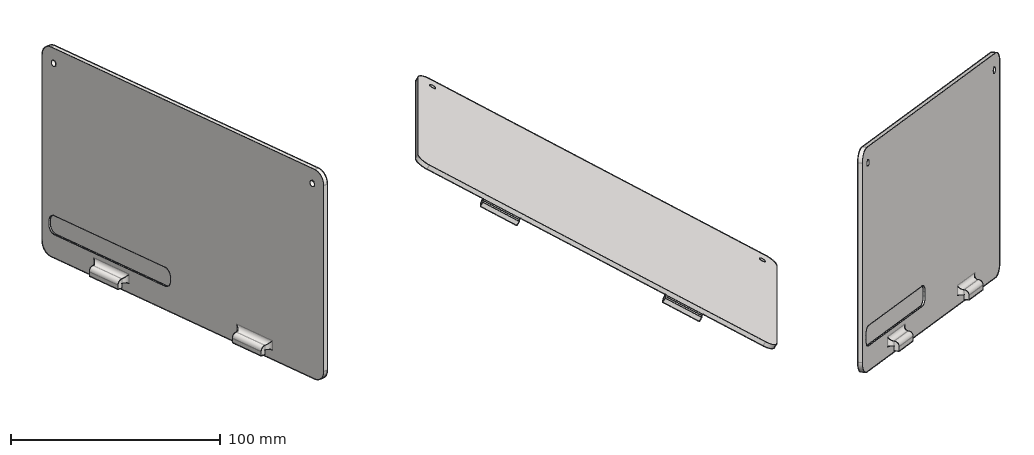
import cadquery as cq

plate_length = 197.0
plate_height = 111.1
total_depth = 7.5
plate_thickness = total_depth / 3
plate_corner_radius = 6.3

hole_diameter = 3.2
hole_inset = 8.0

recess_length = 85.0
recess_height = 10.0
recess_corner_radius = 4.0
recess_depth = 1.0
recess_left_margin = 5.0
recess_bottom_margin = 12.5

hook_width = 20.0
hook_spacing = 100.0
hook_thickness = plate_thickness
lip_bottom = 2.5
arm_bottom = 5.0
arm_top = arm_bottom + hook_thickness

front_y = -plate_thickness
hook_front_y = -total_depth
lip_back_y = hook_front_y + hook_thickness
root_radius = front_y - lip_back_y


def make_plate():
    """Rounded rectangular plate with its bottom edge at Z = 0."""
    return (
        cq.Workplane("XZ")
        .rect(plate_length, plate_height)
        .extrude(plate_thickness)
        .edges("|Y")
        .fillet(plate_corner_radius)
        .translate((0, 0, plate_height / 2))
    )


def make_holes():
    """Two through holes, each inset equally from the top and the side."""
    hole_x = plate_length / 2 - hole_inset
    hole_z = plate_height - hole_inset
    return (
        cq.Workplane("XZ")
        .pushPoints([(-hole_x, hole_z), (hole_x, hole_z)])
        .circle(hole_diameter / 2)
        .extrude(plate_thickness)
    )


def make_recess():
    """Rounded cutter that sinks into the front face, low on the left."""
    center_x = -plate_length / 2 + recess_left_margin + recess_length / 2
    center_z = recess_bottom_margin + recess_height / 2
    return (
        cq.Workplane("XZ", origin=(center_x, front_y + recess_depth, center_z))
        .rect(recess_length, recess_height)
        .extrude(recess_depth)
        .edges("|Y")
        .fillet(recess_corner_radius)
    )


def make_hook(center_x):
    """Hook with concave fillets that meet in a mitre where its arm joins the plate."""
    half_width = hook_width / 2
    root_half_width = half_width + root_radius
    bend = hook_thickness

    side_profile = (
        cq.Workplane("YZ", origin=(-root_half_width, 0, 0))
        .moveTo(front_y, arm_bottom)
        .lineTo(front_y, arm_top + root_radius)
        .radiusArc((lip_back_y, arm_top), root_radius)
        .radiusArc((hook_front_y, arm_top - bend), -bend)
        .lineTo(hook_front_y, lip_bottom)
        .lineTo(lip_back_y, lip_bottom)
        .lineTo(lip_back_y, arm_bottom)
        .close()
        .extrude(2 * root_half_width)
    )

    plan_profile = (
        cq.Workplane("XY")
        .moveTo(-root_half_width, front_y)
        .radiusArc((-half_width, lip_back_y), root_radius)
        .lineTo(-half_width, hook_front_y)
        .lineTo(half_width, hook_front_y)
        .lineTo(half_width, lip_back_y)
        .radiusArc((root_half_width, front_y), root_radius)
        .close()
        .extrude(arm_top + root_radius)
    )
    return side_profile.intersect(plan_profile).translate((center_x, 0, 0))


result = make_plate().cut(make_holes()).cut(make_recess())
for hook_x in (-hook_spacing / 2, hook_spacing / 2):
    result = result.union(make_hook(hook_x))